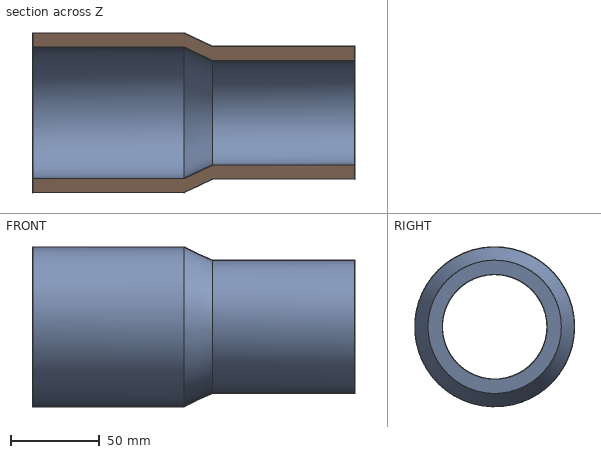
import cadquery as cq

total_length = 181.0
large_length = 85.0
small_length = 80.0
large_outer_diameter = 90.0
large_bore_diameter = 73.7
small_outer_diameter = 75.0
small_bore_diameter = 58.6

large_end = -total_length / 2
taper_start = large_end + large_length
small_end = total_length / 2
taper_end = small_end - small_length


def stepped_solid(large_diameter, small_diameter):
    """Solid of revolution about X: large cylinder, taper, small cylinder."""
    large_radius = large_diameter / 2
    small_radius = small_diameter / 2
    return (
        cq.Workplane("XY")
        .moveTo(large_end, 0)
        .lineTo(large_end, large_radius)
        .lineTo(taper_start, large_radius)
        .lineTo(taper_end, small_radius)
        .lineTo(small_end, small_radius)
        .lineTo(small_end, 0)
        .close()
        .revolve(360, (0, 0, 0), (1, 0, 0))
    )


outer_body = stepped_solid(large_outer_diameter, small_outer_diameter)
bore = stepped_solid(large_bore_diameter, small_bore_diameter)

result = outer_body.cut(bore)